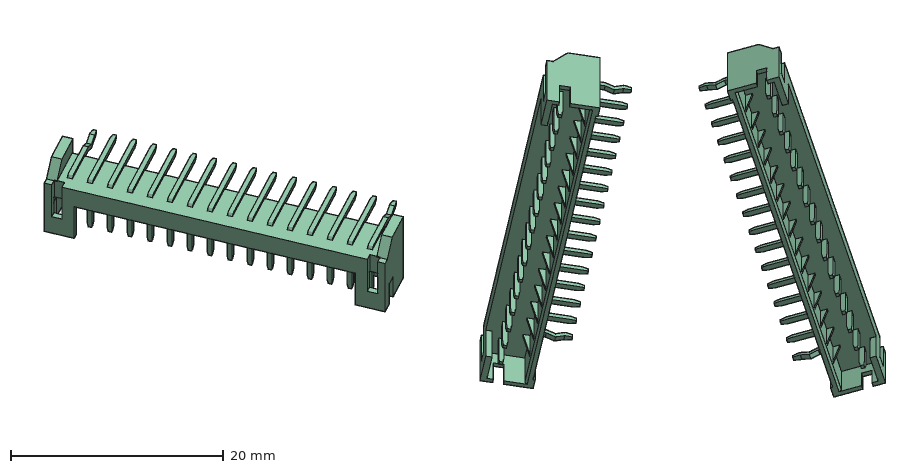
import cadquery as cq


length = 34.1
body_depth = 4.9
body_height = 6.1
front_wall = 0.6
rear_wall = 0.68
end_wall = 0.4
ceiling_z = 4.0
rear_chamfer = 0.25

plate_width = 1.05
plate_depth = 5.1
plate_height = 7.75
plate_slope_depth = 1.4

window_margin = 3.0
notch_margin = 0.75
notch_width = 1.02
notch_depth = 0.7
notch_floor_z = 2.08
side_slot_y = 1.75
side_slot_width = 1.02
side_slot_height = 2.52

pin_count = 16
pin_span = 30.0
pitch = pin_span / (pin_count - 1)
pin_size = 0.5
pin_y = 1.65
pin_top_z = 6.38
pin_bottom_z = 0.5
pin_rear_y = 8.5
bend_radius = pin_size
leg_tip_length = 0.55
tail_tip_length = 0.6
tip_size = 0.35
kink_y = 6.82
kink_half_length = 0.9
kink_drop = 0.4

rib_width = 0.2
rib_bottom_z = 1.02
rib_depth = 0.68

cavity_rear_y = body_depth - rear_wall


def box(x0, x1, y0, y1, z0, z1):
    """Box between opposite corners."""
    return cq.Workplane("XY").box(x1 - x0, y1 - y0, z1 - z0, centered=False).translate((x0, y0, z0))


def extrude_across(profile, x_centre, width):
    """Extrude a YZ outline symmetrically about x_centre."""
    return profile.extrude(width / 2, both=True).translate((x_centre, 0, 0))


def both_ends(shape):
    """A shape at the -X end together with its mirror image at the +X end."""
    return shape.union(shape.mirror("YZ"))


def make_end_plate():
    """End plate with a sloping front edge, standing behind the front wall."""
    profile = cq.Workplane("YZ").polyline([
        (front_wall, 0),
        (plate_depth, 0),
        (plate_depth, plate_height),
        (front_wall + plate_slope_depth, plate_height),
        (front_wall, body_height),
    ]).close()
    return extrude_across(profile, (plate_width - length) / 2, plate_width)


def make_cavity():
    """Cavity open at the bottom, flared along the foot of the rear wall."""
    profile = cq.Workplane("YZ").polyline([
        (front_wall, 0),
        (cavity_rear_y + rear_chamfer, 0),
        (cavity_rear_y, rear_chamfer),
        (cavity_rear_y, ceiling_z),
        (front_wall, ceiling_z),
    ]).close()
    return extrude_across(profile, 0, length - 2 * end_wall)


def make_housing():
    """Housing with end plates, cavity, front window, front notches and side slots."""
    left = -length / 2
    body = box(left, -left, 0, body_depth, 0, body_height)
    body = body.union(both_ends(make_end_plate()))

    window_left = left + window_margin
    window = box(window_left, -window_left, 0, front_wall, 0, ceiling_z)

    notch_left = left + notch_margin
    notch = box(notch_left, notch_left + notch_width, 0, notch_depth, notch_floor_z, body_height)

    slot_front = side_slot_y - side_slot_width / 2
    slot = box(left, left + end_wall, slot_front, slot_front + side_slot_width, 0, side_slot_height)

    return body.cut(make_cavity()).cut(window).cut(both_ends(notch)).cut(both_ends(slot))


def make_rib(x):
    """Rib under the beam that tapers into the rear wall."""
    profile = cq.Workplane("YZ").polyline([
        (cavity_rear_y, rib_bottom_z),
        (cavity_rear_y, ceiling_z),
        (cavity_rear_y - rib_depth, ceiling_z),
    ]).close()
    return extrude_across(profile, x, rib_width)


def make_tip(base_centre, direction, tip_length):
    """Square taper leading out of a pin end in the given direction."""
    base = cq.Workplane(cq.Plane(base_centre, xDir=(1, 0, 0), normal=direction))
    base = base.rect(pin_size, pin_size)
    return base.workplane(offset=tip_length).rect(tip_size, tip_size).loft()


def make_pin(x, kinked):
    """Bent square pin with tapered ends; a kinked tail grips the board."""
    front = pin_y - pin_size / 2
    back = front + pin_size
    underside = pin_top_z - pin_size
    leg_end = pin_bottom_z + leg_tip_length
    tail_end = pin_rear_y - tail_tip_length
    kink = [
        (kink_y - kink_half_length, 0),
        (kink_y, -kink_drop),
        (kink_y + kink_half_length, 0),
    ] if kinked else []

    profile = cq.Workplane("YZ").moveTo(front, leg_end).lineTo(front, pin_top_z - bend_radius)
    profile = profile.radiusArc((front + bend_radius, pin_top_z), bend_radius)
    for y, rise in kink:
        profile = profile.lineTo(y, pin_top_z + rise)
    profile = profile.lineTo(tail_end, pin_top_z).lineTo(tail_end, underside)
    for y, rise in reversed(kink):
        profile = profile.lineTo(y, underside + rise)
    profile = profile.lineTo(back, underside).lineTo(back, leg_end).close()
    pin = extrude_across(profile, x, pin_size)

    leg_tip = make_tip((x, pin_y, leg_end), (0, 0, -1), leg_tip_length)
    tail_centre_z = pin_top_z - pin_size / 2
    tail_tip = make_tip((x, tail_end, tail_centre_z), (0, 1, 0), tail_tip_length)
    return pin.union(leg_tip).union(tail_tip)


result = make_housing()
for i in range(pin_count):
    pin_x = i * pitch - pin_span / 2
    is_end_pin = i in (0, pin_count - 1)
    result = result.union(make_pin(pin_x, is_end_pin))
    if i < pin_count - 1:
        result = result.union(make_rib(pin_x + pitch / 2))